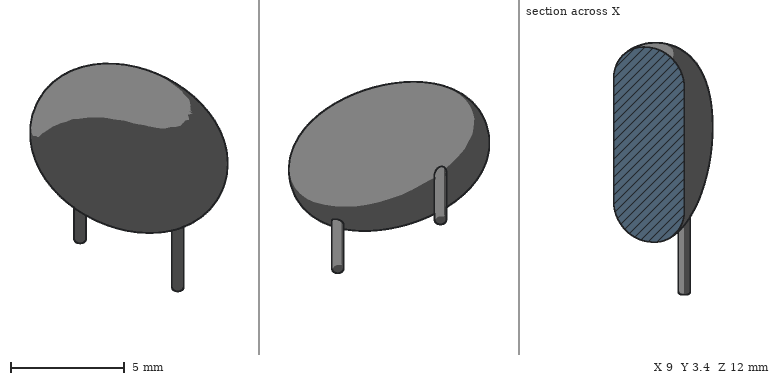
import cadquery as cq

disc_diameter = 9.0
disc_thickness = 3.4
rim_band_width = 0.08
rim_fillet = (disc_thickness - rim_band_width) / 2

lead_diameter = 0.54
lead_pitch = 5.0
lead_stagger = 1.25
lead_tip_fillet = 0.1

overall_height = 12.03
lead_length_below_seat = 3.0
disc_center_z = overall_height - lead_length_below_seat - disc_diameter / 2


def make_disc():
    """Disc with both rims rounded almost to the mid-plane."""
    return (
        cq.Workplane("XZ", origin=(0, disc_thickness / 2, disc_center_z))
        .circle(disc_diameter / 2)
        .extrude(disc_thickness)
        .edges()
        .fillet(rim_fillet)
    )


def make_lead(x, y):
    """Round lead with a rounded tip, ending inside the disc at its centre height."""
    return (
        cq.Workplane("XY", origin=(x, y, -lead_length_below_seat))
        .circle(lead_diameter / 2)
        .extrude(lead_length_below_seat + disc_center_z)
        .faces("<Z")
        .edges()
        .fillet(lead_tip_fillet)
    )


result = make_disc()
for side in (-1, 1):
    lead_x = side * lead_pitch / 2
    lead_y = -side * lead_stagger / 2
    result = result.union(make_lead(lead_x, lead_y))